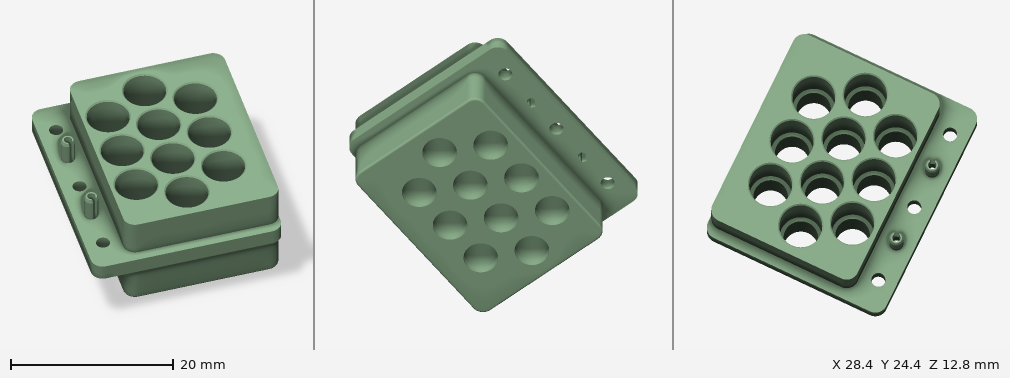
import cadquery as cq

PLATE_WIDTH = 28.45
PLATE_DEPTH = 24.38
PLATE_BOTTOM = 5.85
PLATE_TOP = 7.97

BLOCK_WIDTH = 25.95
BLOCK_DEPTH = 19.85
BLOCK_HEIGHT = 12.77
CORNER_RADIUS = 1.5
BOTTOM_FILLET = 0.28

CELLS_PER_ROW = (3, 4, 3)
CELL_PITCH = 6.12
ROW_PITCH = 5.6
MIDDLE_ROW_Y = -10.98
BORE_DIAMETER = 5.3
BORE_CHAMFER = 0.17
THROUGH_DIAMETER = 4.27
BORE_DEPTH = BLOCK_HEIGHT - PLATE_BOTTOM

FRONT_HOLE_COUNT = 5
FRONT_HOLE_PITCH = 5.1
FRONT_HOLE_DIAMETER = 1.74
FRONT_HOLE_INSET = 2.3
FRONT_HOLE_Y = FRONT_HOLE_INSET - PLATE_DEPTH

PIN_DIAMETER = FRONT_HOLE_DIAMETER
PIN_BORE_DIAMETER = 1.0
PIN_TOP = 11.18
PIN_SLOT_WIDTH = 0.63
PIN_CHAMFER_WIDTH = 0.17
PIN_CHAMFER_HEIGHT = 0.43
PIN_TURN = -70


def centred_row(count, pitch):
    """Places of `count` equally spaced points centred on zero."""
    return [(i - (count - 1) / 2) * pitch for i in range(count)]


def rounded_slab(width, depth, bottom, top):
    """Slab with rounded vertical edges, running forward from the back edge."""
    return (
        cq.Workplane("XY", origin=(0, -depth / 2, bottom))
        .rect(width, depth)
        .extrude(top - bottom)
        .edges("|Z")
        .fillet(CORNER_RADIUS)
    )


def make_housing(cell_points, front_hole_points):
    plate = rounded_slab(PLATE_WIDTH, PLATE_DEPTH, PLATE_BOTTOM, PLATE_TOP)
    block = rounded_slab(BLOCK_WIDTH, BLOCK_DEPTH, 0, BLOCK_HEIGHT)
    block = block.faces("<Z").edges().fillet(BOTTOM_FILLET)
    front_holes = (
        cq.Workplane("XY", origin=(0, 0, PLATE_BOTTOM))
        .pushPoints(front_hole_points)
        .circle(FRONT_HOLE_DIAMETER / 2)
        .extrude(PLATE_TOP - PLATE_BOTTOM)
    )
    housing = block.union(plate).cut(front_holes)

    top = cq.Workplane("XY", origin=(0, 0, BLOCK_HEIGHT)).pushPoints(cell_points)
    housing = housing.cut(top.circle(THROUGH_DIAMETER / 2).extrude(-BLOCK_HEIGHT))
    housing = housing.cut(top.circle(BORE_DIAMETER / 2).extrude(-BORE_DEPTH))
    mouth = cq.Solid.makeCone(
        BORE_DIAMETER / 2,
        BORE_DIAMETER / 2 + BORE_CHAMFER,
        BORE_CHAMFER,
        cq.Vector(0, 0, BLOCK_HEIGHT - BORE_CHAMFER),
    )
    for x, y in cell_points:
        housing = housing.cut(cq.Workplane(mouth.translate(cq.Vector(x, y, 0))))
    return housing


def make_pin(x, y):
    """Tube with a chamfered top and a slot along one side."""
    length = PIN_TOP - PLATE_BOTTOM
    pin = (
        cq.Workplane("XY")
        .circle(PIN_DIAMETER / 2)
        .extrude(length)
        .faces(">Z")
        .chamfer(PIN_CHAMFER_HEIGHT, PIN_CHAMFER_WIDTH)
    )
    bore = cq.Workplane("XY").circle(PIN_BORE_DIAMETER / 2).extrude(length)
    slot = cq.Workplane("XY").rect(PIN_SLOT_WIDTH, PIN_DIAMETER).extrude(length)
    slot = slot.translate((0, PIN_DIAMETER / 2, 0))
    pin = pin.cut(bore).cut(slot)
    return pin.rotate((0, 0, 0), (0, 0, 1), PIN_TURN).translate((x, y, PLATE_BOTTOM))


cell_points = []
for row_offset, count in zip(centred_row(len(CELLS_PER_ROW), ROW_PITCH), CELLS_PER_ROW):
    cell_points += [(x, MIDDLE_ROW_Y + row_offset) for x in centred_row(count, CELL_PITCH)]

front_hole_points = [(x, FRONT_HOLE_Y) for x in centred_row(FRONT_HOLE_COUNT, FRONT_HOLE_PITCH)]

housing = make_housing(cell_points, front_hole_points)
pins = [make_pin(x, y) for x, y in front_hole_points[1::2]]

result = cq.Compound.makeCompound([housing.val(), *[pin.val() for pin in pins]])